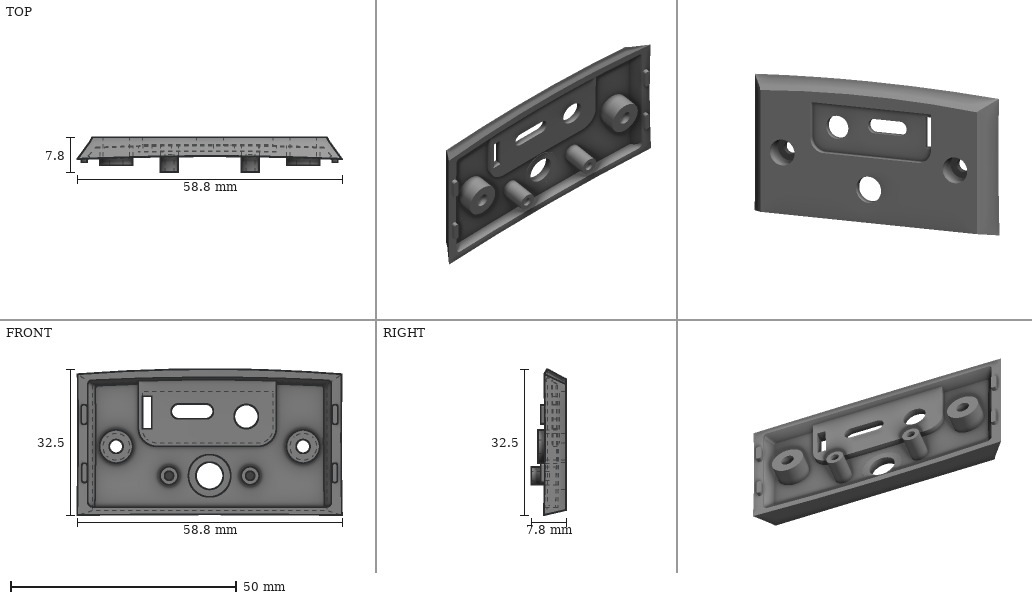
import cadquery as cq


RIM_HALF_WIDTH = 29.4
RIM_DEPTH = 4.96
RIM_TOP = 32.86
TOP_ARC_RADIUS = 290.0
BAND_DEPTH = 1.06
BAND_SIDE_SLOPE = 0.55
BAND_TOP_SLOPE = 0.48
SIDE_SLOPE = 0.72
TOP_SLOPE = 0.54
BOTTOM_SLOPE = 0.23
OVERSHOOT = 0.6

RIM_SPHERE_RADIUS = 635.0
RIM_SPHERE_APEX_DEPTH = 4.04
RIM_SPHERE_APEX_Z = 17.6
FLOOR_BELOW_RIM = 2.35
PANEL_BELOW_RIM = 1.05

CAVITY_HALF_WIDTH = 27.05
CAVITY_BOTTOM = 1.8
CAVITY_TOP = 31.05
CAVITY_ARC_RADIUS = 365.0
CAVITY_SIDE_SLOPE = 0.88
CAVITY_TAPER_DEPTH = 4.2
CAVITY_TOP_EDGE_RADIUS = 0.8
OPENING_TOP = 30.7
OPENING_ARC_RADIUS = 545.0
OPENING_CORNER_RADIUS = 1.2

PANEL_LEFT = -15.8
PANEL_RIGHT = 14.8
PANEL_BOTTOM = 15.3
PANEL_CORNER_RADIUS = 4.0
RECESS_DEPTH = 1.55
RECESS_INSET = 0.8
RECESS_TOP = 27.5
WINDOW_X, WINDOW_Z = -13.85, 22.8
WINDOW_WIDTH, WINDOW_HEIGHT = 2.0, 7.15
SLOT_X, SLOT_Z = -3.85, 23.05
SLOT_LENGTH, SLOT_WIDTH = 9.3, 3.25
PANEL_HOLE_X, PANEL_HOLE_Z = 8.15, 21.9
PANEL_HOLE_DIAMETER = 5.3

CENTRE_Z = 8.75
CENTRE_HOLE_DIAMETER = 6.0
RING_DIAMETER = 9.4
RING_DEPTH = 1.85

BOSS_X, BOSS_Z = 20.75, 15.25
BOSS_DIAMETER = 7.36
BOSS_DEPTH = 6.3
BOSS_HOLE_DIAMETER = 3.0
BOSS_COUNTERBORE_DIAMETER = 5.93
BOSS_END_THICKNESS = 1.55

POST_X = 9.0
POST_DIAMETER = 4.0
POST_DEPTH = 7.8
POST_HOLE_DIAMETER = 2.0
POST_HOLE_LENGTH = 4.0

TABS = ((22.35, 1.3), (9.4, 1.15))
TAB_INNER_X = 27.2
TAB_HEIGHT = 4.3
TAB_DEPTH = 5.65
TAB_CORNER_RADIUS = 0.5

ROOT_DEPTH = 1.2


def at_depth(depth):
    return cq.Workplane("XZ", origin=(0, -depth, 0))


def cylinder(x, z, diameter, start, end):
    return at_depth(start).center(x, z).circle(diameter / 2).extrude(end - start)


def arched_outline(workplane, half_width, bottom, top, arc_radius):
    """Rectangle whose top edge is a shallow arc crowned at X = 0."""
    arc_drop = arc_radius - (arc_radius**2 - half_width**2) ** 0.5
    return (
        workplane.moveTo(-half_width, bottom)
        .lineTo(half_width, bottom)
        .lineTo(half_width, top - arc_drop)
        .threePointArc((0, top), (-half_width, top - arc_drop))
        .close()
    )


def rim_sphere(offset):
    """Ball whose +Y side is the rim surface, moved toward the back by offset."""
    centre = (0, -RIM_SPHERE_APEX_DEPTH - RIM_SPHERE_RADIUS, RIM_SPHERE_APEX_Z)
    return cq.Workplane("XY").sphere(RIM_SPHERE_RADIUS + offset).translate(centre)


def tapered_block(start, end, half_width, bottom, top, arc_radius, slopes):
    """Block widening toward -Y; the sizes apply at the rim corner depth."""
    side_slope, bottom_slope, top_slope = slopes

    def section(workplane, depth):
        inset = RIM_DEPTH - depth
        return arched_outline(
            workplane,
            half_width - side_slope * inset,
            bottom + bottom_slope * inset,
            top - top_slope * inset,
            arc_radius,
        )

    first = section(at_depth(start), start)
    return section(first.workplane(offset=end - start), end).loft(ruled=True)


def outer_shell():
    band_drop = RIM_DEPTH - BAND_DEPTH
    main = tapered_block(
        BAND_DEPTH, RIM_DEPTH + OVERSHOOT, RIM_HALF_WIDTH, 0, RIM_TOP, TOP_ARC_RADIUS,
        (SIDE_SLOPE, BOTTOM_SLOPE, TOP_SLOPE),
    )
    band = tapered_block(
        0, BAND_DEPTH,
        RIM_HALF_WIDTH - (SIDE_SLOPE - BAND_SIDE_SLOPE) * band_drop,
        0,
        RIM_TOP - (TOP_SLOPE - BAND_TOP_SLOPE) * band_drop,
        TOP_ARC_RADIUS,
        (BAND_SIDE_SLOPE, BOTTOM_SLOPE, BAND_TOP_SLOPE),
    )
    return main.union(band).cut(rim_sphere(0))


def panel():
    """Raised panel; it runs up past the cavity's top wall."""
    width = PANEL_RIGHT - PANEL_LEFT
    height = RIM_TOP - PANEL_BOTTOM
    return (
        at_depth(0)
        .center((PANEL_LEFT + PANEL_RIGHT) / 2, PANEL_BOTTOM + height / 2)
        .rect(width, height)
        .extrude(RIM_DEPTH)
        .edges("|Y and <Z")
        .fillet(PANEL_CORNER_RADIUS)
        .cut(rim_sphere(PANEL_BELOW_RIM))
    )


def cavity():
    block = tapered_block(
        0, RIM_DEPTH + OVERSHOOT,
        CAVITY_HALF_WIDTH + CAVITY_SIDE_SLOPE * (RIM_DEPTH - CAVITY_TAPER_DEPTH),
        CAVITY_BOTTOM, CAVITY_TOP, CAVITY_ARC_RADIUS,
        (CAVITY_SIDE_SLOPE, 0, TOP_SLOPE),
    )
    upper_edges = cq.selectors.BoxSelector(
        (-RIM_HALF_WIDTH, -RIM_DEPTH, RIM_TOP / 2), (RIM_HALF_WIDTH, 0, RIM_TOP)
    )
    block = block.edges("not(#Y)").edges(upper_edges).fillet(CAVITY_TOP_EDGE_RADIUS)
    opening = (
        arched_outline(at_depth(0), CAVITY_HALF_WIDTH, CAVITY_BOTTOM, OPENING_TOP, OPENING_ARC_RADIUS)
        .extrude(RIM_DEPTH + OVERSHOOT)
        .edges("|Y")
        .fillet(OPENING_CORNER_RADIUS)
    )
    return block.intersect(opening).intersect(rim_sphere(FLOOR_BELOW_RIM)).cut(panel())


def panel_recess():
    width = PANEL_RIGHT - PANEL_LEFT - 2 * RECESS_INSET
    bottom = PANEL_BOTTOM + RECESS_INSET
    return (
        at_depth(0)
        .center((PANEL_LEFT + PANEL_RIGHT) / 2, (bottom + RECESS_TOP) / 2)
        .rect(width, RECESS_TOP - bottom)
        .extrude(RECESS_DEPTH)
        .edges("|Y and <Z")
        .fillet(PANEL_CORNER_RADIUS - RECESS_INSET)
    )


def panel_openings():
    window = at_depth(0).center(WINDOW_X, WINDOW_Z).rect(WINDOW_WIDTH, WINDOW_HEIGHT).extrude(RIM_DEPTH)
    slot = at_depth(0).center(SLOT_X, SLOT_Z).slot2D(SLOT_LENGTH, SLOT_WIDTH).extrude(RIM_DEPTH)
    hole = cylinder(PANEL_HOLE_X, PANEL_HOLE_Z, PANEL_HOLE_DIAMETER, 0, RIM_DEPTH)
    return window.union(slot).union(hole)


def tab(side, z, width):
    return (
        at_depth(RIM_SPHERE_APEX_DEPTH)
        .center(side * (TAB_INNER_X + width / 2), z)
        .rect(width, TAB_HEIGHT)
        .extrude(TAB_DEPTH - RIM_SPHERE_APEX_DEPTH)
        .edges("|Y")
        .fillet(TAB_CORNER_RADIUS)
    )


def add_boss(body, x):
    body = body.union(cylinder(x, BOSS_Z, BOSS_DIAMETER, ROOT_DEPTH, BOSS_DEPTH))
    body = body.cut(cylinder(x, BOSS_Z, BOSS_HOLE_DIAMETER, 0, BOSS_DEPTH))
    return body.cut(cylinder(x, BOSS_Z, BOSS_COUNTERBORE_DIAMETER, 0, BOSS_DEPTH - BOSS_END_THICKNESS))


def add_post(body, x):
    body = body.union(cylinder(x, CENTRE_Z, POST_DIAMETER, ROOT_DEPTH, POST_DEPTH))
    return body.cut(cylinder(x, CENTRE_Z, POST_HOLE_DIAMETER, POST_DEPTH - POST_HOLE_LENGTH, POST_DEPTH))


body = outer_shell().cut(cavity())
body = body.cut(panel_recess()).cut(panel_openings())

body = body.union(cylinder(0, CENTRE_Z, RING_DIAMETER, ROOT_DEPTH, RING_DEPTH))
body = body.cut(cylinder(0, CENTRE_Z, CENTRE_HOLE_DIAMETER, 0, RIM_DEPTH))

for side in (-1, 1):
    body = add_boss(body, side * BOSS_X)
    body = add_post(body, side * POST_X)
    for tab_z, tab_width in TABS:
        body = body.union(tab(side, tab_z, tab_width))

result = body